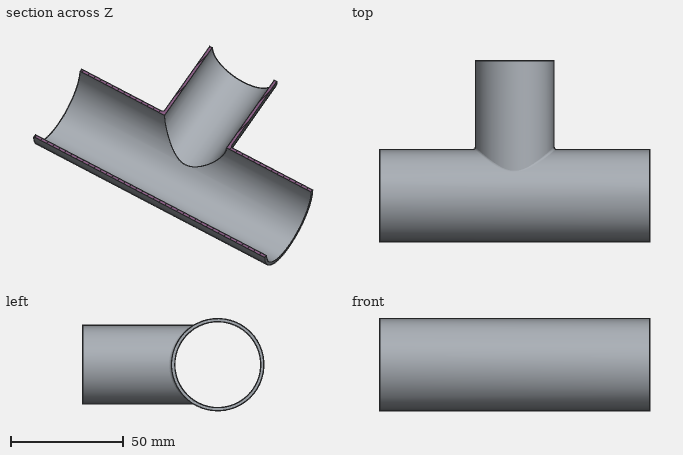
import cadquery as cq

run_length = 120.0
run_diameter = 41.0
run_bore = 38.0
branch_reach = 60.0
branch_diameter = 35.0
branch_bore = branch_diameter - (run_diameter - run_bore)
blend_radius = 1.0


def tee_body(run_size, branch_size):
    """Solid tee made of two crossing cylinders with the given diameters."""
    run = cq.Workplane("YZ").circle(run_size / 2).extrude(run_length / 2, both=True)
    branch = cq.Workplane("XZ").circle(branch_size / 2).extrude(-branch_reach)
    return run.union(branch)


joint_curve = cq.selectors.BoxSelector(
    (-branch_diameter, 0, -run_diameter),
    (branch_diameter, run_diameter, run_diameter),
    boundingbox=True,
)

outside = tee_body(run_diameter, branch_diameter).edges(joint_curve).fillet(blend_radius)

result = outside.cut(tee_body(run_bore, branch_bore))